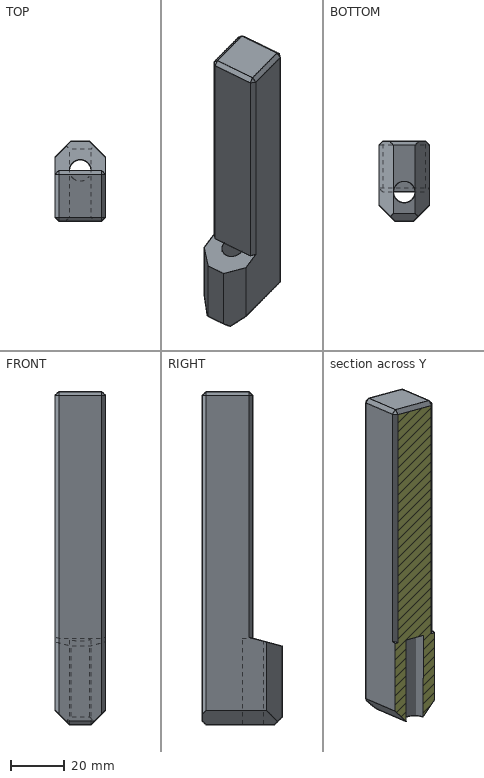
import cadquery as cq
import math

bar_side = 19.05
bar_height = 125.0
bar_chamfer = 1.5

foot_projection = 11.0
foot_bar_height = 32.5
foot_top_angle = 15.0
foot_corner_chamfer = 6.0

base_side_chamfer = 5.5
base_rear_chamfer = 3.0
base_front_chamfer = bar_chamfer

hole_diameter = 8.0

half_width = bar_side / 2
total_depth = bar_side + foot_projection
foot_top_slope = math.tan(math.radians(foot_top_angle))
foot_rear_height = foot_bar_height - foot_projection * foot_top_slope
foot_front_height = foot_bar_height + bar_side * foot_top_slope


def make_bar():
    """Full-height bar with chamfered upright edges and top rim."""
    bar = cq.Workplane("XY").box(bar_side, bar_side, bar_height, centered=(True, False, False))
    return bar.edges("|Z or >Z").chamfer(bar_chamfer)


def make_foot_plan():
    """Foot outline seen along Z: small front corners, large rear corners."""
    blank = cq.Workplane("XY").box(bar_side, total_depth, foot_front_height, centered=(True, False, False))
    blank = blank.edges("|Z and <Y").chamfer(bar_chamfer)
    return blank.edges("|Z and >Y").chamfer(foot_corner_chamfer)


def make_foot():
    """Foot with its top sloping down towards the rear."""
    side_profile = (
        cq.Workplane("YZ")
        .polyline([(0, 0), (total_depth, 0), (total_depth, foot_rear_height), (0, foot_front_height)])
        .close()
        .extrude(half_width, both=True)
    )
    return make_foot_plan().intersect(side_profile)


def make_base_envelope():
    """Block around the whole part whose underside carries the base chamfers."""
    front_outline = (
        cq.Workplane("XZ")
        .polyline([
            (-half_width, bar_height),
            (-half_width, base_side_chamfer),
            (-half_width + base_side_chamfer, 0),
            (half_width - base_side_chamfer, 0),
            (half_width, base_side_chamfer),
            (half_width, bar_height),
        ])
        .close()
        .extrude(-total_depth)
    )
    side_outline = (
        cq.Workplane("YZ")
        .polyline([
            (0, bar_height),
            (0, base_front_chamfer),
            (base_front_chamfer, 0),
            (total_depth - base_rear_chamfer, 0),
            (total_depth, base_rear_chamfer),
            (total_depth, bar_height),
        ])
        .close()
        .extrude(half_width, both=True)
    )
    return front_outline.intersect(side_outline)


def make_hole():
    """Hole from the underside up to where the sloping top meets the bar."""
    return (
        cq.Workplane("XY")
        .center(0, bar_side)
        .circle(hole_diameter / 2)
        .extrude(foot_bar_height)
    )


result = make_bar().union(make_foot()).intersect(make_base_envelope()).cut(make_hole())